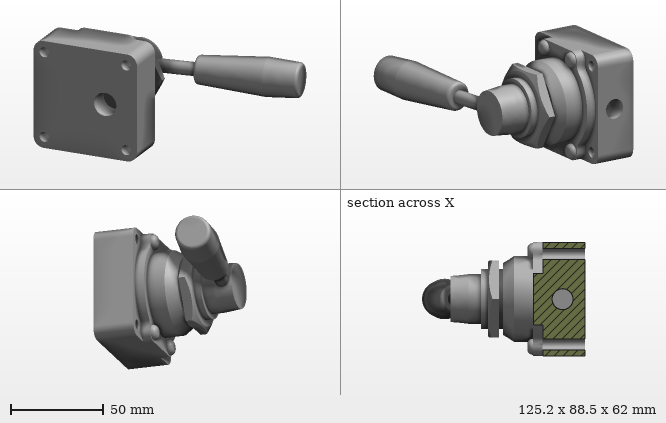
import cadquery as cq
import math


BASE_SIDE = 62.0
BASE_DEPTH = 23.0
BASE_CORNER_RADIUS = 6.0
MOUNT_HOLE_SPACING = 49.1
MOUNT_HOLE_DIAMETER = 5.8

PORT_DEPTH = 12.5
FRONT_PORT_DIAMETER = 13.4
FRONT_PORT_X = 11.9
SIDE_PORT_DIAMETER = 11.1
SIDE_PORT_Y = 12.3

FLANGE_RADIUS = 28.3
FLANGE_TOP = 28.3
LUG_WIDTH = 36.3
LUG_CORNER_RADIUS = 5
LUG_BLEND_RADIUS = 5
DOME_RADIUS = 23.4
DOME_TOP_RADIUS = 19.5
DOME_SHOULDER = 38.4
DOME_TOP = 44.6
NECK_RADIUS = 16.4
NECK_TOP = 56.6

SCREW_HEAD_RADIUS = 4.4
SCREW_HEAD_HEIGHT = 3.0
SCREW_HEAD_ROUNDING = 2.9

NUT_ACROSS_FLATS = 42.1
NUT_BOTTOM = 46.7
NUT_THICKNESS = 6.0
NUT_CHAMFER_RADIUS = 20
NUT_CHAMFER_ANGLE = 30

HEAD_RADIUS = 13.5
HEAD_TOP_RADIUS = 12.5
HEAD_SHOULDER = 63.2
HEAD_TOP = 73.1
LEVER_ANGLE = 8
LEVER_PIVOT_Y = 65.9
ROD_DIAMETER = 7.8
GRIP_START = 34.3
GRIP_WAIST = 74.6
GRIP_END = 94.0
GRIP_START_RADIUS = 8.0
GRIP_WAIST_RADIUS = 11.0
GRIP_END_RADIUS = 9.8
GRIP_ROUNDING = 2.0


def plate(bottom):
    """Workplane facing +Y at the height `bottom`; its local x is X and its local y is -Z."""
    return cq.Workplane("XZ", origin=(0, bottom, 0)).transformed(rotate=(180, 0, 0))


def turned(profile):
    """Solid of revolution about the Y axis from (radius, height) points."""
    return cq.Workplane("XY").polyline(profile).close().revolve(360, (0, 0), (0, 1))


def make_base():
    base = plate(0).rect(BASE_SIDE, BASE_SIDE).extrude(BASE_DEPTH).edges("|Y").fillet(BASE_CORNER_RADIUS)
    mount_holes = (
        plate(0)
        .rect(MOUNT_HOLE_SPACING, MOUNT_HOLE_SPACING, forConstruction=True)
        .vertices()
        .circle(MOUNT_HOLE_DIAMETER / 2)
        .extrude(BASE_DEPTH)
    )
    return base.cut(mount_holes)


def make_ports():
    front_port = plate(0).center(FRONT_PORT_X, 0).circle(FRONT_PORT_DIAMETER / 2).extrude(PORT_DEPTH)
    side_port = (
        cq.Workplane("YZ", origin=(-BASE_SIDE / 2, SIDE_PORT_Y, 0))
        .circle(SIDE_PORT_DIAMETER / 2)
        .extrude(PORT_DEPTH)
    )
    return front_port.union(side_port)


def make_flange():
    thickness = FLANGE_TOP - BASE_DEPTH
    lugs = plate(BASE_DEPTH).rect(LUG_WIDTH, BASE_SIDE).extrude(thickness)
    lugs = lugs.edges("|Y").fillet(LUG_CORNER_RADIUS)
    flange = plate(BASE_DEPTH).circle(FLANGE_RADIUS).extrude(thickness).union(lugs)
    corner_x = LUG_WIDTH / 2
    corner_z = math.sqrt(FLANGE_RADIUS**2 - corner_x**2)
    middle_y = (BASE_DEPTH + FLANGE_TOP) / 2
    for x in (-corner_x, corner_x):
        for z in (-corner_z, corner_z):
            flange = flange.edges(cq.NearestToPointSelector((x, middle_y, z))).fillet(LUG_BLEND_RADIUS)
    return flange


def make_screw_heads():
    return (
        plate(FLANGE_TOP)
        .rect(LUG_WIDTH - 2 * LUG_CORNER_RADIUS, BASE_SIDE - 2 * LUG_CORNER_RADIUS, forConstruction=True)
        .vertices()
        .circle(SCREW_HEAD_RADIUS)
        .extrude(SCREW_HEAD_HEIGHT)
        .faces(">Y")
        .edges()
        .fillet(SCREW_HEAD_ROUNDING)
    )


def make_dome():
    return turned([
        (0, FLANGE_TOP),
        (DOME_RADIUS, FLANGE_TOP),
        (DOME_RADIUS, DOME_SHOULDER),
        (DOME_TOP_RADIUS, DOME_TOP),
        (NECK_RADIUS, DOME_TOP),
        (NECK_RADIUS, NECK_TOP),
        (0, NECK_TOP),
    ])


def make_housing():
    block = make_base().union(make_flange()).union(make_dome()).union(make_screw_heads())
    return block.cut(make_ports())


def make_nut():
    """Hexagon with two corners on the X axis, fitted on the neck and chamfered on its outer side."""
    corner_radius = NUT_ACROSS_FLATS / math.sqrt(3)
    nut_top = NUT_BOTTOM + NUT_THICKNESS
    chamfer_drop = (corner_radius - NUT_CHAMFER_RADIUS) * math.tan(math.radians(NUT_CHAMFER_ANGLE))
    hexagon = plate(NUT_BOTTOM).polygon(6, 2 * corner_radius).circle(NECK_RADIUS).extrude(NUT_THICKNESS)
    chamfer_envelope = turned([
        (0, NUT_BOTTOM),
        (corner_radius, NUT_BOTTOM),
        (corner_radius, nut_top - chamfer_drop),
        (NUT_CHAMFER_RADIUS, nut_top),
        (0, nut_top),
    ])
    return hexagon.intersect(chamfer_envelope)


def make_head():
    return turned([
        (0, NECK_TOP),
        (HEAD_RADIUS, NECK_TOP),
        (HEAD_RADIUS, HEAD_SHOULDER),
        (HEAD_TOP_RADIUS, HEAD_TOP),
        (0, HEAD_TOP),
    ])


def make_rod_and_grip():
    """Rod and grip along X, then tilted and raised onto the lever axis."""
    rod = cq.Workplane("YZ").circle(ROD_DIAMETER / 2).extrude(GRIP_WAIST)
    grip = (
        cq.Workplane("XY")
        .polyline([
            (GRIP_START, 0),
            (GRIP_START, GRIP_START_RADIUS),
            (GRIP_WAIST, GRIP_WAIST_RADIUS),
            (GRIP_END, GRIP_END_RADIUS),
            (GRIP_END, 0),
        ])
        .close()
        .revolve(360, (0, 0), (1, 0))
    )
    grip = grip.faces("<X or >X").edges().fillet(GRIP_ROUNDING)
    handle = rod.union(grip)
    return handle.rotate((0, 0, 0), (0, 0, 1), LEVER_ANGLE).translate((0, LEVER_PIVOT_Y, 0))


def make_lever():
    return make_head().union(make_rod_and_grip())


housing = make_housing()
nut = make_nut()
lever = make_lever()

result = cq.Compound.makeCompound([housing.val(), nut.val(), lever.val()])